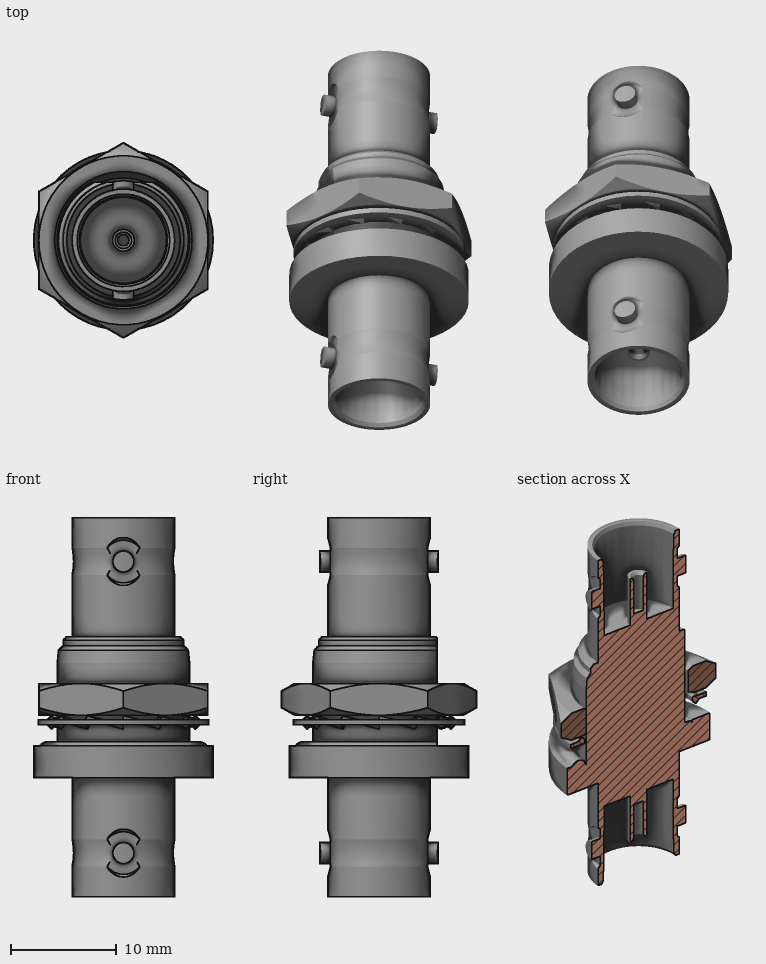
import cadquery as cq
import math


body_length = 35.9
barrel_radius = 4.85

thread_radius = 6.27

flange_radius = 8.5
flange_bottom = 11.3
flange_top = 14.3

seal_section_radius = 0.89
seal_centre_radius = thread_radius + seal_section_radius
seal_centre_height = 13.8

thread_top = 22.15
thread_lead_radius = 6.15
thread_lead_top = 23.35
collar_radius = 5.72
collar_top = 24.65
collar_chamfer = 0.35
thread_flat_y = 5.5

pin_to_end = 4.15
groove_half_width = 1.28
groove_depth = 0.13

pin_radius = 1.0
pin_reach = 5.62
spot_face_radius = 2.02
spot_face_y = 4.6

socket_mouth_radius = 4.38
socket_top_radius = 4.17
socket_floor_radius = 4.08
socket_chamfer_depth = 0.38
socket_depth = 8.5
contact_radius = 1.03
contact_recess = 3.4
contact_hole_radius = 0.53
contact_hole_depth = 4.0
contact_countersink = 0.25

washer_radius = 8.1
washer_bore_radius = 6.35
washer_thickness = 0.5
washer_mid_height = 16.53
tooth_count = 12
tooth_height = 0.39
tooth_length = 1.5
tooth_width = 0.8
tooth_radius = 6.8

nut_across_flats = 16.0
nut_bottom = 17.2
nut_height = 3.0
nut_chamfer_angle = math.radians(30)
nut_bore_radius = 5.9
nut_bore_mouth_radius = 6.5


def revolve_about_z(outline):
    """Revolve a closed radius/height outline on the XZ plane about Z."""
    return outline.close().revolve(360, (0, 0, 0), (0, 1, 0))


def body_turning():
    """Outer turned shape, with the sealing ring as an arc above the flange."""
    flange_rise = flange_top - seal_centre_height
    seal_outer = seal_centre_radius + math.sqrt(seal_section_radius**2 - flange_rise**2)
    collar_base = thread_lead_top + thread_lead_radius - collar_radius
    return revolve_about_z(
        cq.Workplane("XZ")
        .moveTo(0, 0)
        .lineTo(barrel_radius, 0)
        .lineTo(barrel_radius, flange_bottom)
        .lineTo(flange_radius, flange_bottom)
        .lineTo(flange_radius, flange_top)
        .lineTo(seal_outer, flange_top)
        .threePointArc(
            (seal_centre_radius, seal_centre_height + seal_section_radius),
            (thread_radius, seal_centre_height),
        )
        .lineTo(thread_radius, thread_top)
        .lineTo(thread_lead_radius, thread_lead_top)
        .lineTo(collar_radius, collar_base)
        .lineTo(collar_radius, collar_top - collar_chamfer)
        .lineTo(collar_radius - collar_chamfer, collar_top)
        .lineTo(barrel_radius, collar_top)
        .lineTo(barrel_radius, body_length)
        .lineTo(0, body_length)
    )


def thread_flat_cutter():
    """Block that flattens the +Y side of the thread and collar above the flange."""
    height = collar_top - flange_top
    return cq.Workplane("XY").box(
        2 * flange_radius, flange_radius, height, centered=(True, False, False)
    ).translate((0, thread_flat_y, flange_top))


def barrel_groove(pin_height):
    """Ring of lens-shaped section, centred on the pin height."""
    return revolve_about_z(
        cq.Workplane("XZ")
        .moveTo(barrel_radius, pin_height - groove_half_width)
        .threePointArc(
            (barrel_radius - groove_depth, pin_height),
            (barrel_radius, pin_height + groove_half_width),
        )
    )


def spot_face_cutter(pin_height):
    """45-degree cone that opens toward -Y from the spot face."""
    depth = pin_reach - spot_face_y
    return cq.Workplane(
        cq.Solid.makeCone(
            spot_face_radius,
            spot_face_radius + depth,
            depth,
            cq.Vector(0, -spot_face_y, pin_height),
            cq.Vector(0, -1, 0),
        )
    )


def bayonet_pins(pin_height):
    """Bar parallel to Y through the barrel, its ends rounded about Z."""
    bar = cq.Solid.makeCylinder(
        pin_radius, 2 * pin_reach, cq.Vector(0, -pin_reach, pin_height), cq.Vector(0, 1, 0)
    )
    reach_limit = cq.Workplane("XY").circle(pin_reach).extrude(body_length)
    return reach_limit.intersect(cq.Workplane(bar))


def socket_cutter():
    """Space inside the upper end: the socket less its contact, plus the contact hole."""
    end = body_length
    floor = end - socket_depth
    tip = end - contact_recess
    socket = revolve_about_z(
        cq.Workplane("XZ")
        .moveTo(contact_radius, floor)
        .lineTo(socket_floor_radius, floor)
        .lineTo(socket_top_radius, end - socket_chamfer_depth)
        .lineTo(socket_mouth_radius, end)
        .lineTo(0, end)
        .lineTo(0, tip)
        .lineTo(contact_radius, tip)
    )
    hole = revolve_about_z(
        cq.Workplane("XZ")
        .moveTo(0, tip - contact_hole_depth)
        .lineTo(contact_hole_radius, tip - contact_hole_depth)
        .lineTo(contact_hole_radius, tip - contact_countersink)
        .lineTo(contact_hole_radius + contact_countersink, tip)
        .lineTo(0, tip)
    )
    return socket.union(hole)


def make_adapter_body():
    """Turned body with grooves, spot faces, bayonet pins and a socket in each end."""
    body = body_turning().cut(thread_flat_cutter())

    for pin_height in (pin_to_end, body_length - pin_to_end):
        body = body.cut(barrel_groove(pin_height))
        front_spot = spot_face_cutter(pin_height)
        back_spot = front_spot.mirror("XZ")
        body = body.cut(front_spot).cut(back_spot)
        body = body.union(bayonet_pins(pin_height))

    upper_socket = socket_cutter()
    lower_socket = upper_socket.mirror("XY", (0, 0, body_length / 2))
    return body.cut(upper_socket).cut(lower_socket)


def washer_tooth():
    """Raised tooth on the washer top: a ridged ramp, highest at the XZ plane and falling toward +Y."""
    base = washer_thickness / 2
    ridge = (
        cq.Workplane("XZ")
        .moveTo(tooth_radius - tooth_width / 2, base)
        .lineTo(tooth_radius + tooth_width / 2, base)
        .lineTo(tooth_radius, base + tooth_height)
        .close()
        .extrude(-tooth_length)
    )
    ramp = (
        cq.Workplane("YZ")
        .moveTo(0, base)
        .lineTo(tooth_length, base)
        .lineTo(0, base + tooth_height)
        .close()
        .extrude(washer_radius)
    )
    return ridge.intersect(ramp)


def make_lock_washer():
    """Flat ring with ramped teeth on both faces, the lower ones falling the opposite way."""
    washer = (
        cq.Workplane("XY")
        .circle(washer_radius)
        .circle(washer_bore_radius)
        .extrude(washer_thickness)
        .translate((0, 0, -washer_thickness / 2))
    )
    upper_tooth = washer_tooth()
    lower_tooth = upper_tooth.rotate((0, 0, 0), (1, 0, 0), 180)
    for index in range(tooth_count):
        angle = index * 360 / tooth_count
        for tooth in (upper_tooth, lower_tooth):
            washer = washer.union(tooth.rotate((0, 0, 0), (0, 0, 1), angle))
    return washer.translate((0, 0, washer_mid_height))


def make_hex_nut(adapter_body):
    """Hex nut with chamfered corners; its bore fits round the flattened thread of the body."""
    flat_radius = nut_across_flats / 2
    corner_radius = flat_radius / math.cos(math.pi / 6)
    hexagon = (
        cq.Workplane("XY")
        .polygon(6, 2 * corner_radius)
        .extrude(nut_height)
        .rotate((0, 0, 0), (0, 0, 1), 30)
    )
    chamfer_slope = math.tan(nut_chamfer_angle)
    corner_drop = (corner_radius - flat_radius) * chamfer_slope
    bore_chamfer = (nut_bore_mouth_radius - nut_bore_radius) * chamfer_slope
    section = revolve_about_z(
        cq.Workplane("XZ")
        .moveTo(nut_bore_mouth_radius, 0)
        .lineTo(flat_radius, 0)
        .lineTo(corner_radius, corner_drop)
        .lineTo(corner_radius, nut_height - corner_drop)
        .lineTo(flat_radius, nut_height)
        .lineTo(nut_bore_mouth_radius, nut_height)
        .lineTo(nut_bore_radius, nut_height - bore_chamfer)
        .lineTo(nut_bore_radius, bore_chamfer)
    )
    nut = hexagon.intersect(section).translate((0, 0, nut_bottom))
    return nut.cut(adapter_body)


adapter_body = make_adapter_body()
lock_washer = make_lock_washer()
hex_nut = make_hex_nut(adapter_body)

result = cq.Compound.makeCompound([adapter_body.val(), lock_washer.val(), hex_nut.val()])